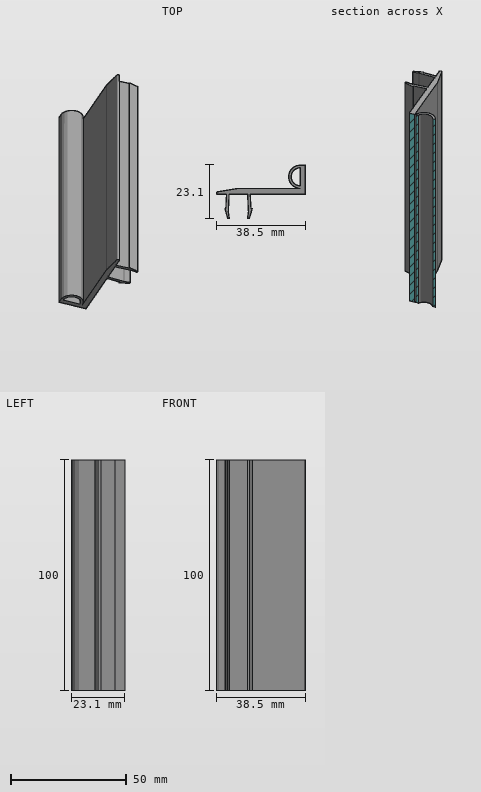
import cadquery as cq
import math

length = 100.0
width = 38.5
depth = 23.1

leg_depth = 10.4
plate_thickness = 2.6
taper_length = 9.0
nose_radius = 0.6

wall_thickness = 2.2
bulb_wall = 1.2
wall_top = depth - leg_depth
wall_face_x = width - wall_thickness
bulb_radius = (wall_top - plate_thickness) / 2
bulb_center_y = plate_thickness + bulb_radius

leg_thickness = 1.3
left_leg_inner_x = 5.6
right_leg_inner_x = 13.4
inner_lean = 0.4
inner_bend_depth = 7.6
outer_lean = 0.3
barb_depth = 6.0
left_barb_reach = 0.7
right_barb_reach = 0.9
left_tip_width = 0.8
right_tip_width = 0.9


def make_plate():
    """Flat plate with a tapered, rounded edge."""
    run = taper_length - nose_radius
    rise = plate_thickness - nose_radius
    slope = math.atan2(rise, run) - math.asin(nose_radius / math.hypot(run, rise))
    tangent = (nose_radius * (1 - math.sin(slope)), nose_radius * (1 + math.cos(slope)))
    return (
        cq.Workplane("XY")
        .moveTo(nose_radius, 0)
        .lineTo(width, 0)
        .lineTo(width, plate_thickness)
        .lineTo(taper_length, plate_thickness)
        .lineTo(*tangent)
        .threePointArc((0, nose_radius), (nose_radius, 0))
        .close()
        .extrude(length)
    )


def half_round(radius):
    """Half cylinder bulging toward -X from the inner face of the wall."""
    return (
        cq.Workplane("XY")
        .moveTo(wall_face_x, bulb_center_y + radius)
        .threePointArc((wall_face_x - radius, bulb_center_y), (wall_face_x, bulb_center_y - radius))
        .close()
        .extrude(length)
    )


def make_wall():
    """Upright wall at the thick edge of the plate."""
    return (
        cq.Workplane("XY")
        .moveTo(wall_face_x, 0)
        .lineTo(width, 0)
        .lineTo(width, wall_top)
        .lineTo(wall_face_x, wall_top)
        .close()
        .extrude(length)
    )


def make_leg(inner_x, side, barb_reach, tip_width):
    """Barbed leg; side is +1 or -1, the X direction its barb points."""
    root_y = plate_thickness / 2

    def at(offset, y):
        return (inner_x + side * offset, y)

    return (
        cq.Workplane("XY")
        .moveTo(*at(0, root_y))
        .lineTo(*at(leg_thickness, root_y))
        .lineTo(*at(leg_thickness, 0))
        .lineTo(*at(leg_thickness + outer_lean, -barb_depth))
        .lineTo(*at(leg_thickness + barb_reach, -barb_depth))
        .lineTo(*at(tip_width, -leg_depth))
        .lineTo(*at(0, -leg_depth))
        .lineTo(*at(inner_lean, -inner_bend_depth))
        .close()
        .extrude(length)
    )


result = (
    make_plate()
    .union(make_wall())
    .union(half_round(bulb_radius))
    .cut(half_round(bulb_radius - bulb_wall))
    .union(make_leg(left_leg_inner_x, -1, left_barb_reach, left_tip_width))
    .union(make_leg(right_leg_inner_x, 1, right_barb_reach, right_tip_width))
)